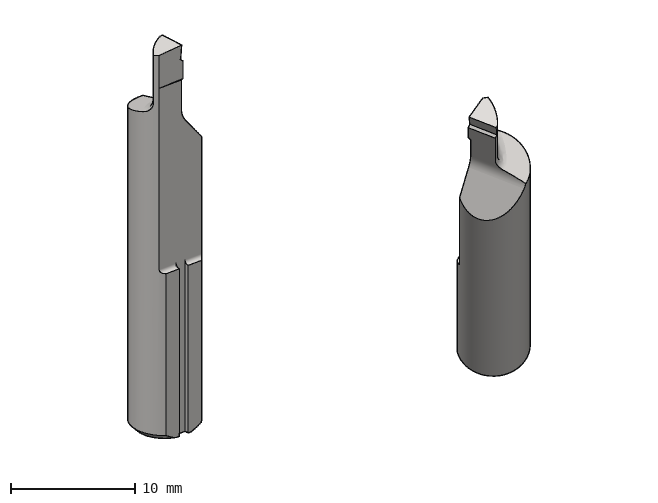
import cadquery as cq
import math

length = 35
shank_radius = 3.0
end_chamfer = 0.52
margin = 3.5
reach = shank_radius + margin

shank_flat_x = 2.355
neck_flat_x = 1.95
flat_start_z = 15.45
flat_runout_radius = 0.35
flat_groove_width = 0.95

shoulder_edge_z = 28.45
shoulder_angle = 14
neck_left_x = -0.25
neck_arc_start_y = -0.3
neck_arc_middle = (0.42, -1.47)
neck_arc_end = (3.15, -3.2)
neck_fillet = 0.95

face_y = 0.1
face_fillet = 1.75
runout_corner_z = 28.5
runout_end_z = 25.05

tip_x = 2.17
tip_bottom_z = 31.95
top_relief_angle = 7.5
rake_top_y = -0.05
rake_bottom_y = -0.15
rake_bottom_z = 33.7
rake_step = 0.18


def shoulder_z(x):
    return shoulder_edge_z + (x + shank_radius) * math.tan(math.radians(shoulder_angle))


def make_shouldered_stock():
    """Oversized stock with the neck filleted into the sloped shoulder."""
    base = (
        cq.Workplane("XZ")
        .moveTo(-reach, 0)
        .lineTo(reach, 0)
        .lineTo(reach, shoulder_z(reach))
        .lineTo(-reach, shoulder_z(-reach))
        .close()
        .extrude(reach, both=True)
    )
    neck = (
        cq.Workplane("XY")
        .moveTo(neck_left_x, reach)
        .lineTo(neck_left_x, neck_arc_start_y)
        .threePointArc(neck_arc_middle, neck_arc_end)
        .lineTo(reach, neck_arc_end[1])
        .lineTo(reach, reach)
        .close()
        .extrude(length)
    )
    stock = base.union(neck)
    root_points = [
        (neck_left_x, (reach + neck_arc_start_y) / 2, shoulder_z(neck_left_x)),
        (*neck_arc_middle, shoulder_z(neck_arc_middle[0])),
    ]
    root_edges = [
        stock.edges(cq.selectors.NearestToPointSelector(point)).val()
        for point in root_points
    ]
    return stock.newObject(root_edges).fillet(neck_fillet)


def make_shank():
    return cq.Workplane("XY").circle(shank_radius).extrude(length).faces("<Z").chamfer(end_chamfer)


def make_half_cutter():
    """Removes the +Y half above the sloped, filleted runout."""
    slope = (runout_corner_z - runout_end_z) / (shank_radius - face_y)
    cutter = (
        cq.Workplane("YZ")
        .moveTo(face_y, length + margin)
        .lineTo(face_y, runout_corner_z)
        .lineTo(reach, runout_end_z - slope * margin)
        .lineTo(reach, length + margin)
        .close()
        .extrude(reach, both=True)
    )
    corner = cq.selectors.NearestToPointSelector((0, face_y, runout_corner_z))
    return cutter.edges(corner).fillet(face_fillet)


def make_flat_cutter():
    """Shank flat with its lengthwise groove, deeper neck flat and the tip's tapered outer flank."""
    shank_flat = (
        cq.Workplane("XY").rect(margin, 2 * reach).extrude(length)
        .translate((shank_flat_x + margin / 2, 0, 0))
    )
    groove = (
        cq.Workplane("XY").rect(margin, flat_groove_width).extrude(flat_start_z)
        .translate((neck_flat_x + margin / 2, 0, 0))
    )
    tip_step = tip_x - neck_flat_x
    neck_flat = (
        cq.Workplane("XZ")
        .moveTo(neck_flat_x, flat_start_z)
        .radiusArc((neck_flat_x + flat_runout_radius, flat_start_z - flat_runout_radius), -flat_runout_radius)
        .lineTo(reach, flat_start_z - flat_runout_radius)
        .lineTo(reach, tip_bottom_z)
        .lineTo(tip_x, tip_bottom_z)
        .lineTo(neck_flat_x, tip_bottom_z - tip_step)
        .close()
        .extrude(reach, both=True)
    )
    flank_end_y = -math.sqrt(shank_radius**2 - neck_flat_x**2)
    flank = (
        cq.Workplane("XY", origin=(0, 0, tip_bottom_z - tip_step))
        .moveTo(tip_x, reach)
        .lineTo(tip_x, face_y)
        .lineTo(neck_flat_x, flank_end_y)
        .lineTo(neck_flat_x, -reach)
        .lineTo(reach, -reach)
        .lineTo(reach, reach)
        .close()
        .extrude(length)
    )
    return shank_flat.union(groove).union(neck_flat).union(flank)


def make_tip_cutter():
    """Top relief falling toward -Y, and the shallow rake on the cutting face."""
    relief_drop = reach * math.tan(math.radians(top_relief_angle))
    relief = (
        cq.Workplane("YZ")
        .moveTo(rake_top_y, length)
        .lineTo(rake_top_y - reach, length - relief_drop)
        .lineTo(rake_top_y - reach, length + margin)
        .lineTo(rake_top_y, length + margin)
        .close()
        .extrude(reach, both=True)
    )
    rake = (
        cq.Workplane("YZ")
        .moveTo(rake_top_y, length)
        .lineTo(rake_bottom_y, rake_bottom_z)
        .lineTo(face_y, rake_bottom_z - rake_step)
        .lineTo(reach, rake_bottom_z - rake_step)
        .lineTo(reach, length)
        .close()
        .extrude(reach, both=True)
    )
    return relief.union(rake)


result = (
    make_shouldered_stock()
    .intersect(make_shank())
    .cut(make_half_cutter())
    .cut(make_flat_cutter())
    .cut(make_tip_cutter())
)